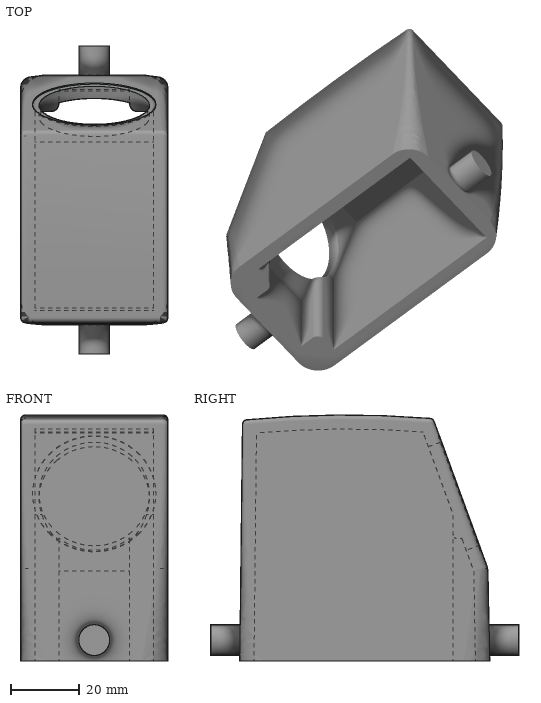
import cadquery as cq
import math

width = 43.0
length = 90.0
height = 71.9
base_half_length = 36.5

front_top_y = -35.7
front_top_z = 70.4
crown_y = -7.2
rear_top_y = 20.0
rear_top_z = 70.8
bend_y = 36.0
bend_z = 27.0
bend_radius = 7.2
bend_search = 0.9

foot_radius = 7.5
front_middle_radius = 2.6
bend_corner_radius = 3.2
top_radius = 1.4
cut_margin = 0.9

wall = 4.1
post_gap = 20.7
post_face_y = 25.8
post_edge_radius = 2.25

entry_diameter = 32.2
recess_diameter = 36.0
recess_depth = 0.4
entry_y = 28.0
entry_cut_depth = 10.8

pin_diameter = 9.0
pin_z = 6.1
pin_embed = 1.8

half_width = width / 2
slope_run = bend_y - rear_top_y
slope_rise = rear_top_z - bend_z
slope_length = math.hypot(slope_run, slope_rise)


def side_outline(foot_z):
    """Side profile in the YZ plane, with its foot at the given height."""
    return (
        cq.Workplane("YZ")
        .moveTo(-base_half_length, foot_z)
        .lineTo(base_half_length, foot_z)
        .lineTo(bend_y, bend_z)
        .lineTo(rear_top_y, rear_top_z)
        .threePointArc((crown_y, height), (front_top_y, front_top_z))
        .close()
    )


def corner_section(y, z, radius, inward):
    """Horizontal section outside the rounding arc of a corner at +X."""
    mid = radius * (1 - math.sqrt(0.5))
    return (
        cq.Workplane("XY", origin=(half_width, y, z))
        .moveTo(-radius, 0)
        .threePointArc((-mid, inward * mid), (0, inward * radius))
        .lineTo(cut_margin, inward * radius)
        .lineTo(cut_margin, -inward * cut_margin)
        .lineTo(-radius, -inward * cut_margin)
        .close()
        .val()
    )


def corner_cutter(stations, inward, ruled):
    """Loft the corner sections over (y, z, radius) stations."""
    wires = [corner_section(y, z, radius, inward) for y, z, radius in stations]
    return cq.Workplane(cq.Solid.makeLoft(wires, ruled))


def make_hood():
    bend_box = cq.selectors.BoxSelector(
        (-half_width, bend_y - bend_search, bend_z - bend_search),
        (half_width, bend_y + bend_search, bend_z + bend_search),
    )
    hood = side_outline(0).extrude(half_width, both=True)
    hood = hood.edges("|X").edges(bend_box).fillet(bend_radius)
    cutter_top = height + cut_margin
    front_lean = (front_top_y + base_half_length) / front_top_z
    front = corner_cutter(
        [
            (-base_half_length, 0, foot_radius),
            (-base_half_length + front_lean * cutter_top / 2, cutter_top / 2, front_middle_radius),
            (-base_half_length + front_lean * cutter_top, cutter_top, top_radius),
        ],
        inward=1,
        ruled=False,
    )
    rear_cutter_y = bend_y - slope_run * (cutter_top - bend_z) / slope_rise
    rear = corner_cutter(
        [
            (base_half_length, 0, foot_radius),
            (bend_y, bend_z, bend_corner_radius),
            (rear_cutter_y, cutter_top, top_radius),
        ],
        inward=-1,
        ruled=True,
    )
    for cutter in (front, rear):
        hood = hood.cut(cutter).cut(cutter.mirror("YZ"))
    return hood.faces(">Z").edges().fillet(top_radius)


def make_cavity():
    """Open-bottomed hollow with a post left standing in each rear corner."""
    cavity = side_outline(-wall).offset2D(-wall).extrude(half_width - wall, both=True)
    post_width = half_width - post_gap / 2
    post_length = base_half_length - post_face_y
    post = (
        cq.Workplane("XY")
        .box(post_width, post_length, height, centered=False)
        .edges("|Z and <X and <Y")
        .fillet(post_edge_radius)
        .translate((post_gap / 2, post_face_y, 0))
    )
    return cavity.cut(post).cut(post.mirror("YZ"))


def make_entry():
    """Bore and shallow recess cut square to the sloping rear face."""
    entry_z = bend_z + slope_rise * (bend_y - entry_y) / slope_run
    outward = (0, slope_rise / slope_length, slope_run / slope_length)
    plane = cq.Plane(origin=(0, entry_y, entry_z), xDir=(1, 0, 0), normal=outward)
    bore = cq.Workplane(plane).circle(entry_diameter / 2).extrude(-entry_cut_depth)
    recess = cq.Workplane(plane).circle(recess_diameter / 2).extrude(-recess_depth)
    return bore.union(recess)


def make_pin():
    pin_length = length / 2 - base_half_length + pin_embed
    return (
        cq.Workplane("XZ", origin=(0, -length / 2, pin_z))
        .circle(pin_diameter / 2)
        .extrude(-pin_length)
    )


pin = make_pin()
result = make_hood().cut(make_cavity()).cut(make_entry())
result = result.union(pin).union(pin.mirror("XZ"))